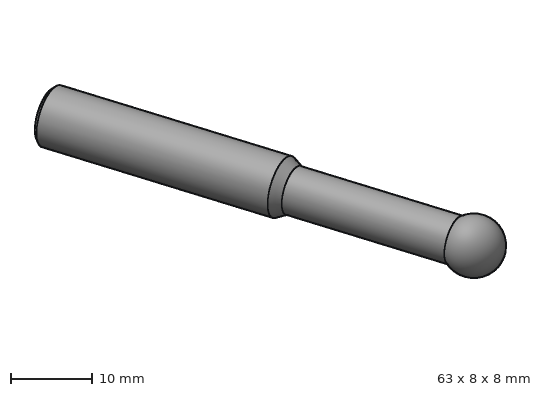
import cadquery as cq
import math

total_length = 63.0
shank_diameter = 8.0
ball_diameter = 8.0
neck_diameter = 6.3
shank_end_x = 32.5
taper_length = 1.5
end_chamfer = 0.5

shank_radius = shank_diameter / 2
neck_radius = neck_diameter / 2
ball_radius = ball_diameter / 2
ball_center_x = total_length - ball_radius
neck_start_x = shank_end_x + taper_length
neck_end_x = ball_center_x - math.sqrt(ball_radius**2 - neck_radius**2)

half_outline = (
    cq.Workplane("XY")
    .moveTo(0, 0)
    .lineTo(0, shank_radius - end_chamfer)
    .lineTo(end_chamfer, shank_radius)
    .lineTo(shank_end_x, shank_radius)
    .lineTo(neck_start_x, neck_radius)
    .lineTo(neck_end_x, neck_radius)
    .threePointArc((ball_center_x, ball_radius), (total_length, 0))
    .close()
)

result = half_outline.revolve(360, (0, 0, 0), (1, 0, 0))